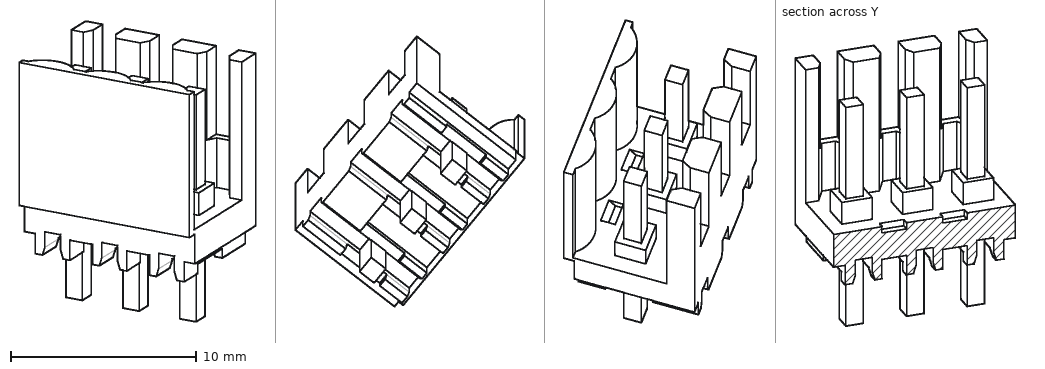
import cadquery as cq
import math


PIN_COUNT = 3
PITCH = 3.5
PIN_SIDE = 1.01
PIN_TOP = 13.05

WIDTH = 10.5
DEPTH = 7.45
HEIGHT = 14.25
BACK = 3.95
FRONT = BACK - DEPTH
BASE_FRONT = -2.9
BASE_BOTTOM = 4.33
FLOOR = 6.31
OVERHANG_BOTTOM = 6.03

BULGE_CREST = -2.35
BULGE_RADIUS = 1.71
LEFT_END_THICKNESS = 0.43
MIDDLE_THICKNESS = 0.47
RIGHT_END_THICKNESS = 0.53

REAR_WALL_INNER = 2.35
GROOVE_BOTTOM_Y = 3.43
GROOVE_MOUTH_WIDTH = 2.0
GROOVE_BOTTOM_WIDTH = 0.78
WINDOW_WIDTH = 1.4
SILL = FLOOR + 2.85

BOSS_SIDE = 1.75
BOSS_TOP = 7.61

POCKET_WIDTH = 1.4
POCKET_BACK = -1.51
POCKET_RAMP_START = -1.97
POCKET_FRONT = -2.34
POCKET_DEPTH = POCKET_RAMP_START - POCKET_FRONT

FOOT_LENGTH = 9.19
FOOT_BOTTOM = 3.18
CHANNEL_WIDTH = 2.72
CHANNEL_TOP = 3.72
NOTCH_WIDTH = 1.4
SLOT_WIDTH = 0.95
SLOT_TOP = 4.55
SLOT_CHAMFER_WIDTH = 0.15
SLOT_CHAMFER_HEIGHT = 0.5

LEFT = -WIDTH / 2
RIGHT = WIDTH / 2
PIN_XS = [(i - (PIN_COUNT - 1) / 2) * PITCH for i in range(PIN_COUNT)]
GAP_XS = [x + PITCH / 2 for x in PIN_XS[:-1]]


def block(x_center, width, y_min, y_max, z_min, z_max):
    """Box centred on x_center, between the given Y and Z limits."""
    box = cq.Workplane("XY").box(width, y_max - y_min, z_max - z_min, centered=False)
    return box.translate((x_center - width / 2, y_min, z_min))


def make_pin(x):
    """Straight square contact pin."""
    half = PIN_SIDE / 2
    return block(x, PIN_SIDE, -half, half, 0, PIN_TOP)


def make_base():
    """Floor slab with the stepped-in foot block below it."""
    slab = block(0, WIDTH, BASE_FRONT, BACK, BASE_BOTTOM, FLOOR)
    foot = block(0, FOOT_LENGTH, BASE_FRONT, BACK, FOOT_BOTTOM, BASE_BOTTOM)
    return slab.union(foot)


def bulge_half_chord(thickness):
    """Half the width of a bulge where it meets a plate of this thickness."""
    rise = BULGE_CREST - (FRONT + thickness)
    return math.sqrt(BULGE_RADIUS**2 - (BULGE_RADIUS - rise) ** 2)


def make_front_wall():
    """Front plate whose inner side carries one arc-shaped bulge per pin."""
    side_thicknesses = [LEFT_END_THICKNESS]
    side_thicknesses += [MIDDLE_THICKNESS] * (PIN_COUNT - 1)
    side_thicknesses += [RIGHT_END_THICKNESS]

    outline = cq.Workplane("XY").moveTo(LEFT, FRONT)
    outline = outline.lineTo(LEFT, FRONT + LEFT_END_THICKNESS)
    for i, x in enumerate(PIN_XS):
        before = side_thicknesses[i]
        after = side_thicknesses[i + 1]
        outline = outline.lineTo(x - bulge_half_chord(before), FRONT + before)
        outline = outline.threePointArc(
            (x, BULGE_CREST),
            (x + bulge_half_chord(after), FRONT + after),
        )
    outline = outline.lineTo(RIGHT, FRONT + RIGHT_END_THICKNESS).lineTo(RIGHT, FRONT).close()
    wall = outline.extrude(HEIGHT - FLOOR).translate((0, 0, FLOOR))
    overhang = block(0, WIDTH, FRONT, BASE_FRONT, OVERHANG_BOTTOM, FLOOR)
    return wall.union(overhang)


def make_rear_wall():
    """Rear wall, grooved down to the floor and open above the sill behind each pin."""
    wall = block(0, WIDTH, REAR_WALL_INNER, BACK, FLOOR, HEIGHT)
    for x in PIN_XS:
        groove = (
            cq.Workplane("XY", origin=(x, 0, FLOOR))
            .moveTo(-GROOVE_MOUTH_WIDTH / 2, REAR_WALL_INNER)
            .lineTo(-GROOVE_BOTTOM_WIDTH / 2, GROOVE_BOTTOM_Y)
            .lineTo(GROOVE_BOTTOM_WIDTH / 2, GROOVE_BOTTOM_Y)
            .lineTo(GROOVE_MOUTH_WIDTH / 2, REAR_WALL_INNER)
            .close()
            .extrude(HEIGHT - FLOOR)
        )
        window = block(x, WINDOW_WIDTH, REAR_WALL_INNER, BACK, SILL, HEIGHT)
        wall = wall.cut(groove).cut(window)
    return wall


def make_pocket(x):
    """Blind floor pocket whose bottom ramps up to the floor at its front end."""
    return (
        cq.Workplane("YZ", origin=(x, 0, 0))
        .moveTo(POCKET_FRONT, FLOOR)
        .lineTo(POCKET_RAMP_START, FLOOR - POCKET_DEPTH)
        .lineTo(POCKET_BACK, FLOOR - POCKET_DEPTH)
        .lineTo(POCKET_BACK, FLOOR)
        .close()
        .extrude(POCKET_WIDTH / 2, both=True)
    )


def make_slot(x):
    """Slot below a pin, running from front to back, with a chamfered mouth."""
    half = SLOT_WIDTH / 2
    half_mouth = half + SLOT_CHAMFER_WIDTH
    chamfer_top = FOOT_BOTTOM + SLOT_CHAMFER_HEIGHT
    return (
        cq.Workplane("XZ", origin=(x, BACK, 0))
        .moveTo(-half_mouth, FOOT_BOTTOM)
        .lineTo(-half, chamfer_top)
        .lineTo(-half, SLOT_TOP)
        .lineTo(half, SLOT_TOP)
        .lineTo(half, chamfer_top)
        .lineTo(half_mouth, FOOT_BOTTOM)
        .close()
        .extrude(BACK - BASE_FRONT)
    )


def make_housing():
    """Base, walls and bosses in one solid, with pin holes and all cut-outs."""
    body = make_base().union(make_front_wall()).union(make_rear_wall())

    half_channel = CHANNEL_WIDTH / 2
    body = body.cut(block(0, WIDTH, -half_channel, half_channel, FOOT_BOTTOM, CHANNEL_TOP))

    for x in GAP_XS:
        notch = block(x, NOTCH_WIDTH, BASE_FRONT, half_channel, FOOT_BOTTOM, BASE_BOTTOM)
        body = body.cut(notch).cut(make_pocket(x))

    half_boss = BOSS_SIDE / 2
    for x in PIN_XS:
        boss = block(x, BOSS_SIDE, -half_boss, half_boss, FLOOR, BOSS_TOP)
        body = body.union(boss).cut(make_slot(x)).cut(make_pin(x))
    return body


housing = make_housing()
pins = [make_pin(x) for x in PIN_XS]

result = cq.Compound.makeCompound([*housing.solids().vals(), *[pin.val() for pin in pins]])